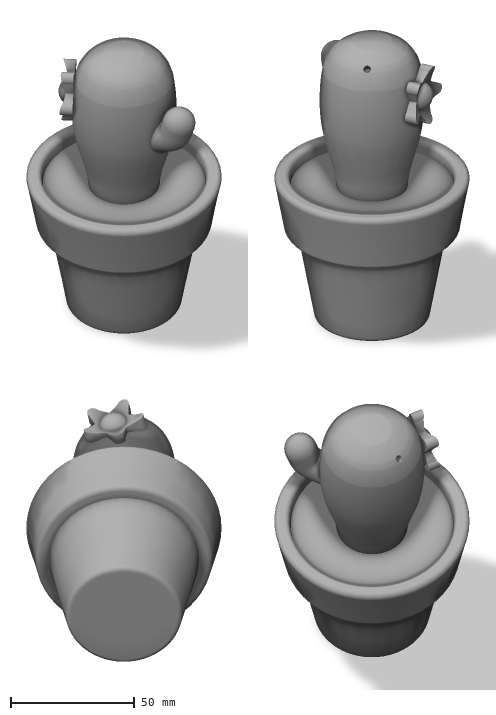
import cadquery as cq
import math

POT_HEIGHT = 65.0
RIM_BOTTOM_Z = 40.0
POT_TAPER_ANGLE = math.radians(10.2)
POT_TAPER = math.tan(POT_TAPER_ANGLE)
POT_BASE_RADIUS = 23.2
RIM_DIAMETER = 79.1
RIM_WALL = 6.1
POT_FLOOR = 6.0
POT_ROUNDING = 2.0
RIM_TOP_RADIUS = RIM_DIAMETER / 2 + POT_ROUNDING * (POT_TAPER + 1 / math.cos(POT_TAPER_ANGLE) - 1)

SOIL_TOP_Z = 60.0

FOOT_RADIUS = 14.5
WAIST_RADIUS, WAIST_Z = 16.6, 71.9
BELLY_RADIUS, BELLY_Z = 21.1, 94.0
SHOULDER_RADIUS, SHOULDER_Z = 20.1, 113.5
DOME_MID_RADIUS, DOME_MID_Z = 16.3, 121.3
CROWN_RADIUS, CROWN_Z = 8.1, 126.2
TOP_Z = 127.0
NECK_CURVE = 0.4

ARM_RADIUS = 6.6
ARM_BEND_RADIUS = 6.7
ARM_ROOT_LENGTH = 12.7
ARM_TIP_LENGTH = 5.2
ARM_ROOT_LEAN = 64.6
ARM_TIP_LEAN = 18.4
ARM_TIP_X, ARM_TIP_Z = 29.5, 105.3

HOLE_DIAMETER = 3.0
HOLE_DEPTH = 3.8
HOLE_X, HOLE_Y, HOLE_Z = -12.7, 9.1, 121.3
HOLE_ELEVATION = 45.0

FLOWER_Z = 105.7
FLOWER_AZIMUTH = 216.7
FLOWER_BACK = 20.1
FLOWER_FRONT = 25.9
PETAL_COUNT = 5
PETAL_PHASE = -6.5
PETAL_LENGTH = 13.1
PETAL_TIP_RADIUS = 2.5
NOTCH_RADIUS = 7.4
CUP_RADIUS = 29.2
CUP_BOTTOM = 22.2
BUTTON_RADIUS = 5.7
BUTTON_HEIGHT = 3.8


def cavity():
    """Tapered space inside the pot, up to the top of the rim."""
    mouth_radius = RIM_TOP_RADIUS - RIM_WALL
    floor_radius = POT_BASE_RADIUS + POT_FLOOR * POT_TAPER - RIM_WALL
    step_radius = floor_radius + (RIM_BOTTOM_Z - POT_FLOOR) * POT_TAPER
    return (
        cq.Workplane("XZ")
        .moveTo(0, POT_FLOOR)
        .lineTo(floor_radius, POT_FLOOR)
        .lineTo(step_radius, RIM_BOTTOM_Z)
        .lineTo(mouth_radius - (POT_HEIGHT - RIM_BOTTOM_Z) * POT_TAPER, RIM_BOTTOM_Z)
        .lineTo(mouth_radius, POT_HEIGHT)
        .lineTo(0, POT_HEIGHT)
        .close()
        .revolve(360)
    )


def make_pot():
    rim_height = POT_HEIGHT - RIM_BOTTOM_Z
    body = (
        cq.Workplane("XZ")
        .lineTo(POT_BASE_RADIUS, 0)
        .lineTo(POT_BASE_RADIUS + RIM_BOTTOM_Z * POT_TAPER, RIM_BOTTOM_Z)
        .lineTo(RIM_TOP_RADIUS - rim_height * POT_TAPER, RIM_BOTTOM_Z)
        .lineTo(RIM_TOP_RADIUS, POT_HEIGHT)
        .lineTo(0, POT_HEIGHT)
        .close()
        .revolve(360)
    )
    body = body.faces("<Z").edges().fillet(POT_ROUNDING)
    outermost = cq.selectors.RadiusNthSelector(-1)
    underside = cq.selectors.BoxSelector(
        (-RIM_TOP_RADIUS, -RIM_TOP_RADIUS, RIM_BOTTOM_Z - POT_ROUNDING / 2),
        (RIM_TOP_RADIUS, RIM_TOP_RADIUS, RIM_BOTTOM_Z + POT_ROUNDING / 2),
    )
    body = body.edges("%CIRCLE").edges(underside).edges(outermost).fillet(POT_ROUNDING)
    return body.cut(cavity()).faces(">Z").edges().fillet(POT_ROUNDING)


def make_soil():
    """Fill of the pot up to the soil surface."""
    fill = cq.Workplane("XY").circle(RIM_TOP_RADIUS).extrude(SOIL_TOP_Z)
    return cavity().intersect(fill)


def make_trunk():
    neck_mid = ((FOOT_RADIUS + WAIST_RADIUS) / 2 - NECK_CURVE, (SOIL_TOP_Z + WAIST_Z) / 2)
    crown_sphere = (CROWN_RADIUS**2 + (TOP_Z - CROWN_Z) ** 2) / (2 * (TOP_Z - CROWN_Z))
    crown_mid_radius = CROWN_RADIUS / 2
    crown_mid_z = TOP_Z - crown_sphere + math.sqrt(crown_sphere**2 - crown_mid_radius**2)
    return (
        cq.Workplane("XZ")
        .moveTo(0, SOIL_TOP_Z)
        .lineTo(FOOT_RADIUS, SOIL_TOP_Z)
        .threePointArc(neck_mid, (WAIST_RADIUS, WAIST_Z))
        .threePointArc((BELLY_RADIUS, BELLY_Z), (SHOULDER_RADIUS, SHOULDER_Z))
        .threePointArc((DOME_MID_RADIUS, DOME_MID_Z), (CROWN_RADIUS, CROWN_Z))
        .threePointArc((crown_mid_radius, crown_mid_z), (0, TOP_Z))
        .close()
        .revolve(360)
    )


def lean_vector(lean):
    """Unit vector in the XZ plane, leaning from +Z toward +X by an angle in degrees."""
    return cq.Vector(math.sin(math.radians(lean)), 0, math.cos(math.radians(lean)))


def make_arm():
    """Round bar that leaves the trunk, bends upward and ends in a half ball."""
    tip_direction = lean_vector(ARM_TIP_LEAN)
    root_direction = lean_vector(ARM_ROOT_LEAN)
    tip = cq.Vector(ARM_TIP_X, 0, ARM_TIP_Z)
    bend_end = tip - tip_direction * ARM_TIP_LENGTH
    pivot = bend_end + lean_vector(ARM_TIP_LEAN - 90) * ARM_BEND_RADIUS
    bend_start = pivot + lean_vector(ARM_ROOT_LEAN + 90) * ARM_BEND_RADIUS
    bend_mid = pivot + lean_vector((ARM_ROOT_LEAN + ARM_TIP_LEAN) / 2 + 90) * ARM_BEND_RADIUS
    root = bend_start - root_direction * ARM_ROOT_LENGTH
    path = (
        cq.Workplane("XZ")
        .moveTo(root.x, root.z)
        .lineTo(bend_start.x, bend_start.z)
        .threePointArc((bend_mid.x, bend_mid.z), (bend_end.x, bend_end.z))
        .lineTo(tip.x, tip.z)
    )
    section = cq.Plane(origin=root, xDir=(0, 1, 0), normal=root_direction)
    bar = cq.Workplane(section).circle(ARM_RADIUS).sweep(path)
    ball = cq.Workplane("XY").sphere(ARM_RADIUS).translate(tip)
    return bar.union(ball)


def make_dome_hole():
    azimuth = math.atan2(HOLE_Y, HOLE_X)
    elevation = math.radians(HOLE_ELEVATION)
    outward = cq.Vector(
        math.cos(elevation) * math.cos(azimuth),
        math.cos(elevation) * math.sin(azimuth),
        math.sin(elevation),
    )
    mouth = cq.Vector(HOLE_X, HOLE_Y, HOLE_Z)
    drill = cq.Solid.makeCylinder(
        HOLE_DIAMETER / 2, 2 * HOLE_DEPTH, mouth - outward * HOLE_DEPTH, outward
    )
    return cq.Workplane(drill)


def petal_point(along, across, angle):
    """Point of a petal that points along the given angle in degrees."""
    turn = math.radians(angle)
    return (
        along * math.cos(turn) - across * math.sin(turn),
        along * math.sin(turn) + across * math.cos(turn),
    )


def make_flower():
    azimuth = math.radians(FLOWER_AZIMUTH)
    plane = cq.Plane(
        origin=(0, 0, FLOWER_Z),
        xDir=(-math.sin(azimuth), math.cos(azimuth), 0),
        normal=(math.cos(azimuth), math.sin(azimuth), 0),
    )

    step = 360 / PETAL_COUNT
    tip_centre = PETAL_LENGTH - PETAL_TIP_RADIUS
    star = cq.Workplane(plane).workplane(offset=FLOWER_BACK)
    star = star.moveTo(*petal_point(NOTCH_RADIUS, 0, PETAL_PHASE - step / 2))
    for index in range(PETAL_COUNT):
        angle = PETAL_PHASE + index * step
        star = star.lineTo(*petal_point(tip_centre, -PETAL_TIP_RADIUS, angle))
        star = star.threePointArc(
            petal_point(PETAL_LENGTH, 0, angle),
            petal_point(tip_centre, PETAL_TIP_RADIUS, angle),
        )
        if index < PETAL_COUNT - 1:
            star = star.lineTo(*petal_point(NOTCH_RADIUS, 0, angle + step / 2))
    petals = star.close().extrude(FLOWER_FRONT - FLOWER_BACK)

    cup = cq.Workplane(plane).workplane(offset=CUP_BOTTOM + CUP_RADIUS).sphere(CUP_RADIUS)
    petals = petals.cut(cup)

    cup_rise = CUP_RADIUS - math.sqrt(CUP_RADIUS**2 - BUTTON_RADIUS**2)
    button_top = CUP_BOTTOM + cup_rise + BUTTON_HEIGHT
    ball_radius = (BUTTON_RADIUS**2 + BUTTON_HEIGHT**2) / (2 * BUTTON_HEIGHT)
    ball = cq.Workplane(plane).workplane(offset=button_top - ball_radius).sphere(ball_radius)
    front_half = (
        cq.Workplane(plane)
        .workplane(offset=FLOWER_BACK)
        .circle(BUTTON_RADIUS)
        .extrude(button_top - FLOWER_BACK)
    )
    return petals.union(ball.intersect(front_half))


pot = make_pot()
soil = make_soil()
flower = make_flower()
cactus = make_trunk().union(make_arm()).cut(make_dome_hole()).cut(flower)

result = cq.Compound.makeCompound([pot.val(), soil.val(), cactus.val(), flower.val()])